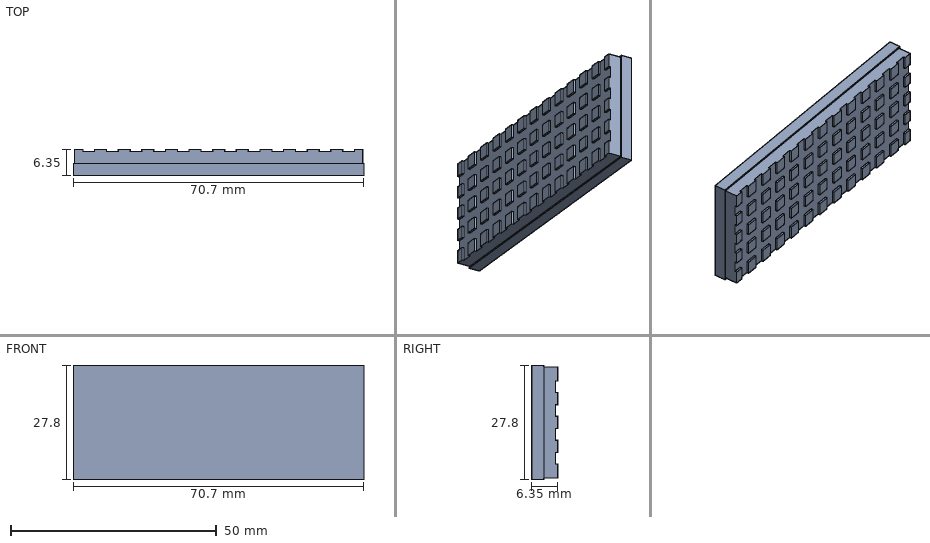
import cadquery as cq

plate_length = 70.65
plate_height = 27.8
plate_thickness = 3.0

tile_length = 70.1
tile_height = 27.0
total_thickness = 6.35
tile_thickness = total_thickness - plate_thickness

upright_groove_inset = 3.45
level_groove_pitch = 5.8
groove_width = 2.75
groove_depth = 0.5
upright_groove_count = 12
level_groove_count = 4
upright_groove_span = tile_length - 2 * upright_groove_inset
upright_groove_pitch = upright_groove_span / (upright_groove_count - 1)


def centred_positions(count, pitch):
    """Evenly spaced positions, symmetric about zero."""
    return [(i - (count - 1) / 2) * pitch for i in range(count)]


def block(length, thickness, height, front_y):
    """A box centred in X and Z whose front face lies at front_y."""
    return (
        cq.Workplane("XY")
        .box(length, thickness, height, centered=(True, False, True))
        .translate((0, front_y, 0))
    )


def make_facing_plate():
    return block(plate_length, plate_thickness, plate_height, 0)


def make_backing_tile():
    tile = block(tile_length, tile_thickness, tile_height, plate_thickness)
    groove_floor_y = total_thickness - groove_depth

    upright_groove = block(groove_width, groove_depth, tile_height, groove_floor_y)
    for x in centred_positions(upright_groove_count, upright_groove_pitch):
        tile = tile.cut(upright_groove.translate((x, 0, 0)))

    level_groove = block(tile_length, groove_depth, groove_width, groove_floor_y)
    for z in centred_positions(level_groove_count, level_groove_pitch):
        tile = tile.cut(level_groove.translate((0, 0, z)))
    return tile


facing_plate = make_facing_plate()
backing_tile = make_backing_tile()

result = cq.Compound.makeCompound([facing_plate.val(), backing_tile.val()])